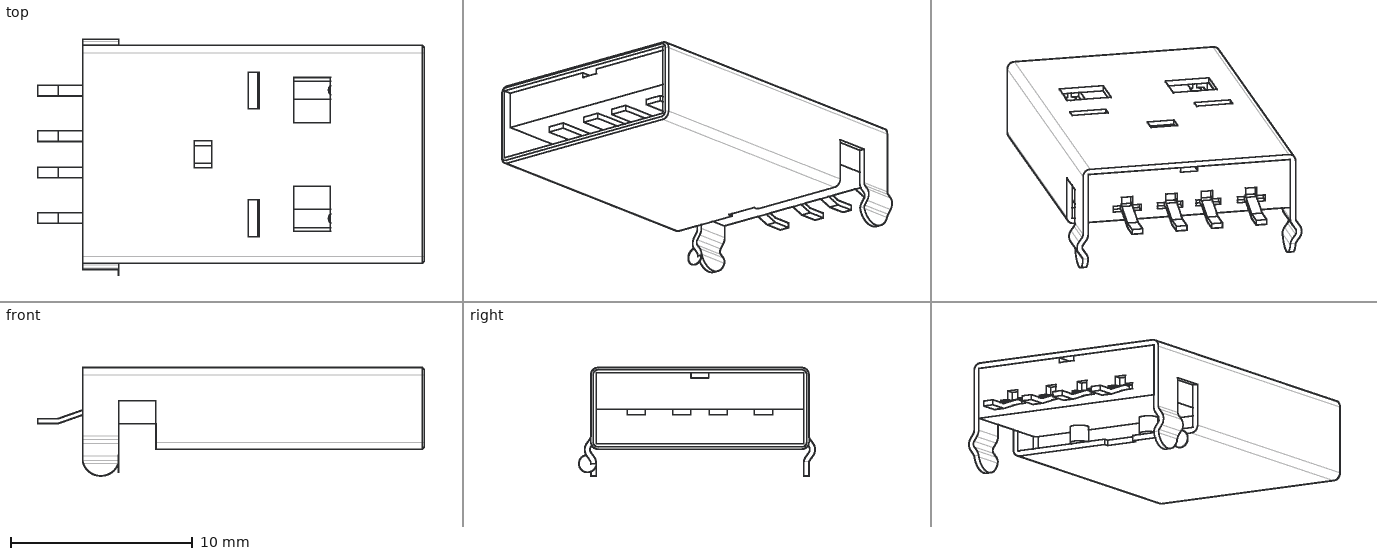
import cadquery as cq
import math


SHELL_LENGTH = 18.8
SHELL_WIDTH = 12.0
SHELL_HEIGHT = 4.5
SHELL_WALL = 0.3
SHELL_RADIUS = 0.4
MOUTH_CHAMFER = 0.13
FLOOR_START = 4.03
SIDE_NOTCH_TOP = 2.68
SEAM_NOTCH_Y = (-1.77, 0.05)
SEAM_NOTCH_DEPTH = 0.3

INNER_WIDTH = SHELL_WIDTH - 2 * SHELL_WALL
CEILING = SHELL_HEIGHT - SHELL_WALL

LATCH_X = (11.62, 13.62)
LATCH_Y = (1.75, 4.22)
SLOT_X = (9.1, 9.72)
SLOT_Y = (2.5, 4.52)
DIMPLE_X = (6.15, 7.1)
DIMPLE_WIDTH = 1.5
DIMPLE_DEPTH = 0.25

LEG_LENGTH = 2.0
LEG_TOP = 0.8
LEG_BULGE = 0.34
BULGE_RADIUS = 0.57
BULGE_Z = -0.015
BEND_ANGLE = math.radians(36)
BEND_RADIUS = 0.3
TIP_TOP = -0.67
TIP_BOTTOM = -1.47
DISC_RADIUS = 0.48
DISC_THICKNESS = 0.04
DISC_Y = -6.18
DISC_Z = -0.79

REAR_START = 0.03
REAR_BLOCK_BOTTOM = 1.4
BASE_START = 5.8
BASE_END = 7.0
TONGUE_END = 18.3
TONGUE_BOTTOM = 2.2
GUIDE_NARROWING = 0.2
CHANNEL_WIDTH = 0.97
CHANNEL_DEPTH = 0.27
SLOT_POCKET_DEPTH = 0.08
SLOT_LEDGE = 0.1
LATCH_POCKET_Y = (3.02, 4.24)
LATCH_POCKET_END = 14.1
LATCH_POCKET_DEPTH = 0.39
LATCH_GROOVE_Y = 4.03
LATCH_GROOVE_DEPTH = 0.7
LATCH_BORE_X = 13.82
LATCH_BORE_Y = 3.53
LATCH_BORE_RADIUS = 0.3
LATCH_BORE_DEPTH = 0.7

POST_X = 4.9
POST_Y = 2.25
POST_RADIUS = 0.51
POST_CHAMFER = 0.16
POST_BOTTOM = 0.36

CONTACT_Y = (-3.5, -1.0, 1.0, 3.5)
CONTACT_THICKNESS = 0.28
CONTACT_TOP = 2.18
CONTACT_END = 17.0
CONTACT_WIDTH = 1.0
TAIL_WIDTH = 0.6
TAIL_END = -2.48
TAIL_BEND = -1.35
TAIL_TOP = 1.69
TAIL_SLOPE_END = 0.05

RECESS_DEPTH = 0.5
RECESS_TOP = 2.72
RECESS_WIDTH = 0.63
WING_Z = (1.9, 2.24)
WING_OUTER = 0.78
WING_INNER = 0.62


def box(x_range, y_range, z_range):
    """Axis-aligned box between the given limits, in either order."""
    limits = [sorted(pair) for pair in (x_range, y_range, z_range)]
    size = [high - low for low, high in limits]
    corner = [low for low, high in limits]
    return cq.Workplane("XY").box(*size, centered=False).translate(tuple(corner))


def centred(width):
    return (-width / 2, width / 2)


def make_shell():
    outer = box((0, SHELL_LENGTH), centred(SHELL_WIDTH), (0, SHELL_HEIGHT))
    outer = outer.edges("|X").fillet(SHELL_RADIUS)
    outer = outer.faces(">X").edges().chamfer(MOUTH_CHAMFER)
    cavity = box((0, SHELL_LENGTH), centred(INNER_WIDTH), (SHELL_WALL, CEILING))
    shell = outer.cut(cavity)

    shell = shell.cut(box((LEG_LENGTH, FLOOR_START), centred(SHELL_WIDTH), (0, SIDE_NOTCH_TOP)))
    shell = shell.cut(box((0, FLOOR_START), centred(SHELL_WIDTH), (0, LEG_TOP)))
    return shell.cut(box((FLOOR_START, FLOOR_START + SEAM_NOTCH_DEPTH), SEAM_NOTCH_Y, (0, SHELL_WALL)))


def cut_shell_openings(shell):
    through = (CEILING, SHELL_HEIGHT)
    for side in (-1, 1):
        for x_range, y_range in ((LATCH_X, LATCH_Y), (SLOT_X, SLOT_Y)):
            shell = shell.cut(box(x_range, [side * y for y in y_range], through))
    dimple_z = (SHELL_HEIGHT - DIMPLE_DEPTH, SHELL_HEIGHT)
    return shell.cut(box(DIMPLE_X, centred(DIMPLE_WIDTH), dimple_z))


def make_leg():
    """Spring leg on the +Y side: an outward bulge ending in a rounded foot."""
    face = SHELL_WIDTH / 2
    inner_face = face - SHELL_WALL
    bulge_y = face + LEG_BULGE - BULGE_RADIUS
    inner_radius = BULGE_RADIUS - SHELL_WALL

    def bulge_point(radius, angle):
        return (bulge_y + radius * math.cos(angle), BULGE_Z + radius * math.sin(angle))

    arc_end_y, arc_end_z = bulge_point(BULGE_RADIUS, BEND_ANGLE)
    outer_bend = arc_end_z - BULGE_Z + (arc_end_y - face) / math.tan(BEND_ANGLE)
    inner_bend = outer_bend - SHELL_WALL * math.tan(BEND_ANGLE / 2)

    leg = (
        cq.Workplane("YZ")
        .moveTo(inner_face, LEG_TOP)
        .lineTo(face, LEG_TOP)
        .lineTo(face, BULGE_Z + outer_bend)
        .lineTo(arc_end_y, arc_end_z)
        .threePointArc(bulge_point(BULGE_RADIUS, 0), bulge_point(BULGE_RADIUS, -BEND_ANGLE))
        .lineTo(face, BULGE_Z - outer_bend)
        .lineTo(face, TIP_BOTTOM)
        .lineTo(inner_face, TIP_BOTTOM)
        .lineTo(inner_face, BULGE_Z - inner_bend)
        .lineTo(*bulge_point(inner_radius, -BEND_ANGLE))
        .threePointArc(bulge_point(inner_radius, 0), bulge_point(inner_radius, BEND_ANGLE))
        .lineTo(inner_face, BULGE_Z + inner_bend)
        .close()
        .extrude(LEG_LENGTH)
    )
    bends = (
        (face, outer_bend, BEND_RADIUS),
        (inner_face, inner_bend, BEND_RADIUS + SHELL_WALL),
    )
    for y, rise, radius in bends:
        for z in (BULGE_Z - rise, BULGE_Z + rise):
            nearest = cq.selectors.NearestToPointSelector((LEG_LENGTH / 2, y, z))
            leg = leg.edges(nearest).fillet(radius)
    rounded_outline = (
        cq.Workplane("XZ")
        .moveTo(0, LEG_TOP)
        .lineTo(0, TIP_TOP)
        .threePointArc((LEG_LENGTH / 2, TIP_BOTTOM), (LEG_LENGTH, TIP_TOP))
        .lineTo(LEG_LENGTH, LEG_TOP)
        .close()
        .extrude(SHELL_WIDTH, both=True)
    )
    return leg.intersect(rounded_outline)


def make_leg_disc():
    """Thin round tab on the +X edge of the -Y leg."""
    disc = cq.Workplane("YZ").center(DISC_Y, DISC_Z).circle(DISC_RADIUS).extrude(DISC_THICKNESS)
    return disc.translate((LEG_LENGTH - DISC_THICKNESS, 0, 0))


def make_insulator():
    rear = box((REAR_START, BASE_START), centred(INNER_WIDTH), (REAR_BLOCK_BOTTOM, CEILING))
    base = box((BASE_START, BASE_END), centred(INNER_WIDTH), (SHELL_WALL, CEILING))
    tongue = box((BASE_END, TONGUE_END), centred(INNER_WIDTH), (TONGUE_BOTTOM, CEILING))
    insulator = rear.union(base).union(tongue)

    for side in (-1, 1):
        wall = side * INNER_WIDTH / 2
        wedge = (
            cq.Workplane("XY", origin=(0, 0, SHELL_WALL))
            .moveTo(BASE_START - GUIDE_NARROWING, wall)
            .lineTo(BASE_START, wall)
            .lineTo(BASE_START, wall - side * GUIDE_NARROWING)
            .close()
            .extrude(REAR_BLOCK_BOTTOM - SHELL_WALL)
        )
        insulator = insulator.union(wedge)
    channel_z = (CEILING - CHANNEL_DEPTH, CEILING)
    return insulator.cut(box((0, TONGUE_END), centred(CHANNEL_WIDTH), channel_z))


def cut_tongue_pockets(insulator):
    """Pockets below the slots and latch windows of the shell, with a bore in each latch pocket."""
    slot_x = (SLOT_X[0], SLOT_X[1] - SLOT_LEDGE)
    slot_z = (CEILING - SLOT_POCKET_DEPTH, CEILING)
    latch_x = (LATCH_X[0], LATCH_POCKET_END)
    latch_z = (CEILING - LATCH_POCKET_DEPTH, CEILING)
    groove_y = (LATCH_GROOVE_Y, LATCH_POCKET_Y[1])
    groove_z = (CEILING - LATCH_GROOVE_DEPTH, CEILING)
    pockets = (
        (slot_x, SLOT_Y, slot_z),
        (latch_x, LATCH_POCKET_Y, latch_z),
        (latch_x, groove_y, groove_z),
    )
    for side in (-1, 1):
        for x_range, y_range, z_range in pockets:
            insulator = insulator.cut(box(x_range, [side * y for y in y_range], z_range))
    bores = (
        cq.Workplane("XY", origin=(0, 0, CEILING - LATCH_BORE_DEPTH))
        .pushPoints([(LATCH_BORE_X, -LATCH_BORE_Y), (LATCH_BORE_X, LATCH_BORE_Y)])
        .circle(LATCH_BORE_RADIUS)
        .extrude(LATCH_BORE_DEPTH)
    )
    return insulator.cut(bores)


def cut_contact_recesses(insulator):
    depth = (0, RECESS_DEPTH)
    for y in CONTACT_Y:
        towards_centre = -math.copysign(1, y)
        is_inner_contact = abs(y) < max(CONTACT_Y)
        inner_reach = WING_INNER if is_inner_contact else WING_OUTER
        wing_y = (y + towards_centre * inner_reach, y - towards_centre * WING_OUTER)
        upright_y = (y - RECESS_WIDTH / 2, y + RECESS_WIDTH / 2)
        insulator = insulator.cut(box(depth, wing_y, WING_Z))
        insulator = insulator.cut(box(depth, upright_y, (WING_Z[0], RECESS_TOP)))
    return insulator


def make_posts():
    posts = (
        cq.Workplane("XY", origin=(0, 0, POST_BOTTOM))
        .pushPoints([(POST_X, -POST_Y), (POST_X, POST_Y)])
        .circle(POST_RADIUS)
        .extrude(REAR_BLOCK_BOTTOM - POST_BOTTOM)
    )
    return posts.faces("<Z").chamfer(POST_CHAMFER)


def make_contact(y):
    """Bent solder tail that continues as a flat contact below the tongue."""
    tail_line = [
        (TAIL_END, TAIL_TOP),
        (TAIL_BEND, TAIL_TOP),
        (TAIL_SLOPE_END, CONTACT_TOP),
        (BASE_END, CONTACT_TOP),
    ]
    underside = [(x, z - CONTACT_THICKNESS) for x, z in reversed(tail_line)]
    tail = cq.Workplane("XZ").polyline(tail_line + underside).close().extrude(TAIL_WIDTH / 2, both=True)
    blade_z = (CONTACT_TOP - CONTACT_THICKNESS, TONGUE_BOTTOM)
    blade = box((BASE_START, CONTACT_END), centred(CONTACT_WIDTH), blade_z)
    return tail.union(blade).translate((0, y, 0))


leg = make_leg()
insulator = cut_contact_recesses(cut_tongue_pockets(make_insulator()))

result = cut_shell_openings(make_shell())
result = result.union(leg).union(leg.mirror("XZ")).union(make_leg_disc())
result = result.union(insulator).union(make_posts())
for contact_y in CONTACT_Y:
    result = result.union(make_contact(contact_y))